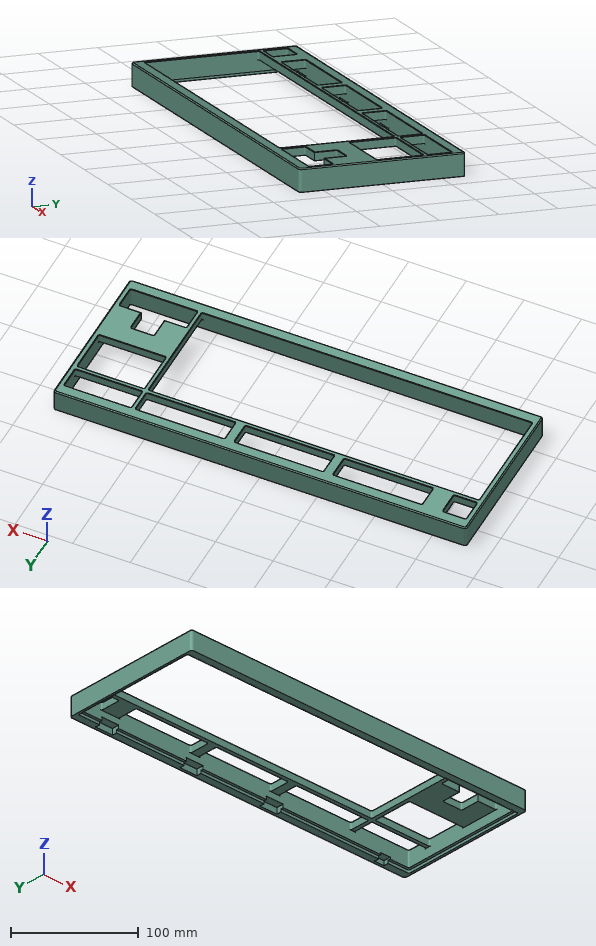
import cadquery as cq
length = 358.5
width = 140.0
height = 19.5
corner_radius = 2.5
rim_chamfer = 1.0

keys_across = 18.25
keys_deep = 6.25
grid_length = 348.0
pitch = grid_length / keys_across
clearance = 0.5
cluster_keys = 3
main_keys = 15

plate_thickness = 7.0
inner_radius = 1.25
window_chamfer = 0.45

cavity_length = grid_length + 2 * clearance
cavity_width = keys_deep * pitch + 2 * clearance

step_width = 2.5
step_height = 3.0

pockets = (
    (-154.2, 18.0, 6.0),
    (-64.0, 18.0, 6.0),
    (22.0, 18.0, 6.0),
    (144.5, 10.0, 4.5),
)
pocket_depth = 7.0


def rounded_block(block_length, block_width, block_height, radius):
    """Block centred on the origin, standing on Z = 0, with rounded upright edges."""
    block = cq.Workplane("XY").box(block_length, block_width, block_height, centered=(True, True, False))
    return block.edges("|Z").fillet(radius)


def key_block(column, row, columns, rows):
    """Cutter for a block of keys; column and row are its left and front edges in key pitches."""
    center_x = (column + columns / 2 - keys_across / 2) * pitch
    center_y = (row + rows / 2 - keys_deep / 2) * pitch
    block = rounded_block(
        columns * pitch + 2 * clearance,
        rows * pitch + 2 * clearance,
        plate_thickness,
        inner_radius,
    )
    return block.translate((center_x, center_y, height - plate_thickness))


def make_windows():
    """All the key windows; the arrow keys form one T-shaped window."""
    function_row = keys_deep - 1
    main_rows = 5
    cluster = keys_across - cluster_keys
    arrows = key_block(cluster, 0, cluster_keys, 1).union(key_block(cluster + 1, 0, 1, 2))
    windows = [
        key_block(0, function_row, 1, 1),
        key_block(0, 0, main_keys, main_rows),
        key_block(cluster, function_row, cluster_keys, 1),
        key_block(cluster, main_rows - 2, cluster_keys, 2),
        arrows,
    ]
    for first_key in (2, 6.5, 11):
        windows.append(key_block(first_key, function_row, 4, 1))
    return windows


result = rounded_block(length, width, height, corner_radius)
result = result.faces(">Z").edges().chamfer(rim_chamfer)

for window in make_windows():
    result = result.cut(window)
window_edges = cq.selectors.BoxSelector(
    (-cavity_length / 2 - clearance, -cavity_width / 2 - clearance, height - clearance),
    (cavity_length / 2 + clearance, cavity_width / 2 + clearance, height + clearance),
)
result = result.edges(window_edges).chamfer(window_chamfer)

cavity = rounded_block(cavity_length, cavity_width, height - plate_thickness, inner_radius)
step = rounded_block(
    cavity_length + 2 * step_width,
    cavity_width + 2 * step_width,
    step_height,
    inner_radius,
)
result = result.cut(cavity).cut(step)

for left, pocket_length, pocket_height in pockets:
    pocket = cq.Workplane("XY").box(pocket_length, pocket_depth, pocket_height, centered=False)
    result = result.cut(pocket.translate((left, cavity_width / 2, 0)))